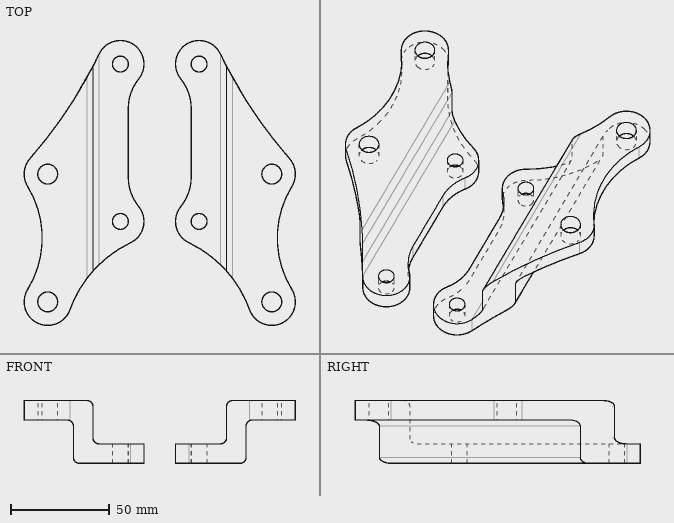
import cadquery as cq
import math

HEIGHT = 32.0
THICKNESS = 10.0
WEB_INNER_X = 33.9
BEND_RADIUS = 3.0

TOTAL_WIDTH = 138.0
TOTAL_LENGTH = 145.0
LUG_RADIUS = 12.0
OUTER_HOLE_DIAMETER = 10.0
INNER_HOLE_DIAMETER = 8.0
OUTER_HOLE_SPACING = 65.0
INNER_HOLE_SPACING = 80.0
INNER_LUG_X = 20.0

INNER_EDGE_X = 16.0
INNER_EDGE_RADIUS = 23.9
OUTER_EDGE_RADIUS = 50.0
UPPER_EDGE_RADIUS = 232.0
LOWER_EDGE_RADIUS = 60.0

outer_x = -(TOTAL_WIDTH / 2 - LUG_RADIUS)
end_y = TOTAL_LENGTH / 2 - LUG_RADIUS
INNER_TOP = (-INNER_LUG_X, end_y)
INNER_BOTTOM = (-INNER_LUG_X, end_y - INNER_HOLE_SPACING)
OUTER_BOTTOM = (outer_x, -end_y)
OUTER_TOP = (outer_x, -end_y + OUTER_HOLE_SPACING)


def toward(start, target, distance):
    """Point at the given distance from start, in the direction of target."""
    dx = target[0] - start[0]
    dy = target[1] - start[1]
    ratio = distance / math.hypot(dx, dy)
    return (start[0] + dx * ratio, start[1] + dy * ratio)


def midpoint(first, second):
    """Point halfway between two points."""
    return ((first[0] + second[0]) / 2, (first[1] + second[1]) / 2)


def concave_arc(first, second, radius):
    """Start, middle and end of an arc tangent to two lugs, for lugs taken clockwise."""
    middle = midpoint(first, second)
    dx = second[0] - first[0]
    dy = second[1] - first[1]
    spacing = math.hypot(dx, dy)
    offset = math.sqrt((radius + LUG_RADIUS) ** 2 - (spacing / 2) ** 2)
    center = (middle[0] - dy / spacing * offset, middle[1] + dx / spacing * offset)
    return (
        toward(first, center, LUG_RADIUS),
        toward(center, middle, radius),
        toward(second, center, LUG_RADIUS),
    )


def make_outline():
    """Plan outline, drawn clockwise from the straight inner edge."""
    center_x = -INNER_EDGE_X + INNER_EDGE_RADIUS
    reach = math.sqrt((INNER_EDGE_RADIUS + LUG_RADIUS) ** 2 - (center_x + INNER_LUG_X) ** 2)
    high_center = (center_x, INNER_TOP[1] - reach)
    low_center = (center_x, INNER_BOTTOM[1] + reach)
    high_end = toward(INNER_TOP, high_center, LUG_RADIUS)
    low_end = toward(INNER_BOTTOM, low_center, LUG_RADIUS)
    edge_top = (-INNER_EDGE_X, high_center[1])
    edge_bottom = (-INNER_EDGE_X, low_center[1])
    high_middle = toward(high_center, midpoint(edge_top, high_end), INNER_EDGE_RADIUS)
    low_middle = toward(low_center, midpoint(edge_bottom, low_end), INNER_EDGE_RADIUS)

    lower = concave_arc(INNER_BOTTOM, OUTER_BOTTOM, LOWER_EDGE_RADIUS)
    outer = concave_arc(OUTER_BOTTOM, OUTER_TOP, OUTER_EDGE_RADIUS)
    upper = concave_arc(OUTER_TOP, INNER_TOP, UPPER_EDGE_RADIUS)

    return (
        cq.Workplane("XY")
        .moveTo(*edge_top)
        .lineTo(*edge_bottom)
        .threePointArc(low_middle, low_end)
        .threePointArc((INNER_BOTTOM[0] + LUG_RADIUS, INNER_BOTTOM[1]), lower[0])
        .threePointArc(lower[1], lower[2])
        .threePointArc((OUTER_BOTTOM[0], OUTER_BOTTOM[1] - LUG_RADIUS), outer[0])
        .threePointArc(outer[1], outer[2])
        .threePointArc((OUTER_TOP[0] - LUG_RADIUS, OUTER_TOP[1]), upper[0])
        .threePointArc(upper[1], upper[2])
        .threePointArc((INNER_TOP[0], INNER_TOP[1] + LUG_RADIUS), high_end)
        .threePointArc(high_middle, edge_top)
        .close()
    )


def make_section():
    """Z-shaped bar along Y, with all four bend edges rounded."""
    left = -TOTAL_WIDTH / 2
    web_outer_x = WEB_INNER_X + THICKNESS
    bend_region = cq.selectors.BoxSelector(
        (-web_outer_x - BEND_RADIUS, -TOTAL_LENGTH, -BEND_RADIUS),
        (-WEB_INNER_X + BEND_RADIUS, TOTAL_LENGTH, HEIGHT + BEND_RADIUS),
    )
    return (
        cq.Workplane("XZ")
        .moveTo(left, HEIGHT)
        .lineTo(-WEB_INNER_X, HEIGHT)
        .lineTo(-WEB_INNER_X, THICKNESS)
        .lineTo(0, THICKNESS)
        .lineTo(0, 0)
        .lineTo(-web_outer_x, 0)
        .lineTo(-web_outer_x, HEIGHT - THICKNESS)
        .lineTo(left, HEIGHT - THICKNESS)
        .close()
        .extrude(TOTAL_LENGTH / 2, both=True)
        .edges(bend_region)
        .edges("|Y")
        .fillet(BEND_RADIUS)
    )


def make_holes(centers, diameter):
    """Vertical cutters over the full height."""
    return cq.Workplane("XY").pushPoints(centers).circle(diameter / 2).extrude(HEIGHT)


def make_bracket():
    """Bracket on the -X side."""
    return (
        make_section()
        .intersect(make_outline().extrude(HEIGHT))
        .cut(make_holes([OUTER_TOP, OUTER_BOTTOM], OUTER_HOLE_DIAMETER))
        .cut(make_holes([INNER_TOP, INNER_BOTTOM], INNER_HOLE_DIAMETER))
    )


left_bracket = make_bracket()
brackets = [left_bracket, left_bracket.mirror("YZ")]

result = cq.Compound.makeCompound([bracket.val() for bracket in brackets])